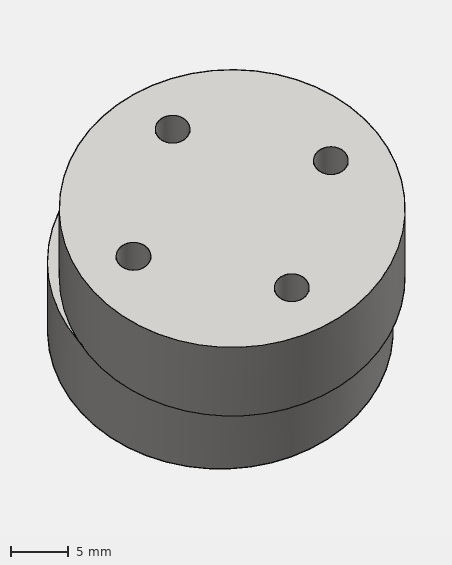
import cadquery as cq

overall_length = 32.0
overall_height = 20.0
disc_diameter = 30.0
hole_diameter = 3.0
hole_circle_diameter = 20.0
hole_count = 4

disc_height = overall_height / 2
disc_offset = overall_length - disc_diameter


def disc(center_x, base_z):
    """One round disc with its axis along Z."""
    return (
        cq.Workplane("XY", origin=(center_x, 0, base_z))
        .circle(disc_diameter / 2)
        .extrude(disc_height)
    )


def through_holes(center_x):
    """Cutters for a ring of holes running the full height."""
    return (
        cq.Workplane("XY", origin=(center_x, 0, 0))
        .polarArray(hole_circle_diameter / 2, 0, 360, hole_count)
        .circle(hole_diameter / 2)
        .extrude(overall_height)
    )


lower_disc = disc(0, 0)
upper_disc = disc(disc_offset, disc_height)
result = lower_disc.union(upper_disc).cut(through_holes(disc_offset))